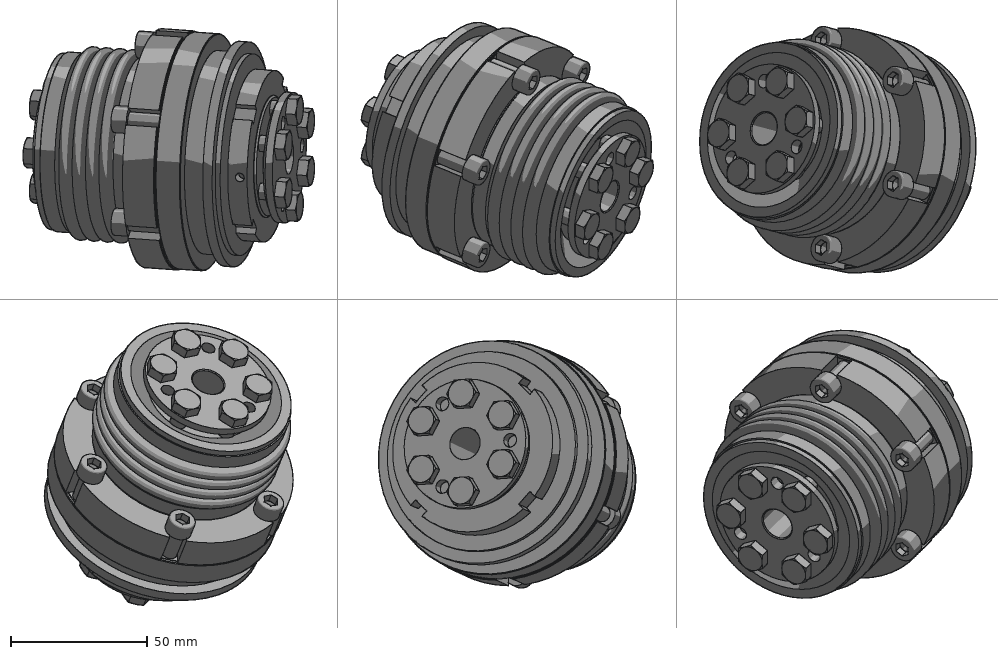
import cadquery as cq
import math

length = 99.0
bore_dia = 12.0
bore_chamfer = 0.4
through_overlap = 1.0

bolt_count = 6
bolt_dia = 6.0
bolt_circle_r = 18.2
bolt_hex_flats = 10.0
bolt_head_height = 4.0
bolt_head_chamfer = 0.3
plate_dia = 48.0
plate_thickness = 4.4
plate_rim_width = 2.8
plate_back_dia = 41.8
jack_hole_count = 3
jack_hole_dia = 5.0
jack_hole_circle_r = 17.8
clamp_gap = 2.4
spacer_dia = 28.5
spacer_neck_dia = 24.75
anchor_depth = 2.0
clamp_depth = bolt_head_height + plate_thickness + clamp_gap

flange_start = 6.8
flange_step = 9.1
flange_end = 14.8
flange_dia = 66.2
flange_step_dia = 65.0
recess_mouth_dia = 57.6
recess_floor_dia = 40.8
recess_floor = 12.6
ring_count = 4
ring_thickness = 3.3
ring_center_dia = 68.0
root_dia = 52.3
hub_flange_start = 36.9
hub_flange_end = 42.6
ring_r = ring_thickness / 2
root_width = (hub_flange_start - flange_end - ring_count * ring_thickness) / (ring_count + 1)
root_r = root_width / 2

slotted_start = 43.5
slotted_end = 55.5
slotted_dia = 88.0
joint_dia = 85.1
counter_start = 55.8
counter_end = 65.2
counter_dia = 87.3
disc_chamfer = 0.3
drum_dia = 74.9
rim_start = 73.3
rim_end = 76.8
rim_dia = 82.9
collar_end = 78.7
collar_dia = 74.25

nut_cone_dia = 50.3
nut_face = 80.1
nut_end = 87.4
nut_dia = 63.2
nut_boss_dia = 45.0
nut_boss_chamfer = 0.7
nut_slot_count = 4
nut_slot_width = 6.2
nut_slot_depth = 2.8
pin_hole_dia = 3.3
pin_hole_x = 84.6
pin_hole_depth = 4.95

screw_count = 6
screw_dia = 6.0
screw_head_dia = 10.0
screw_head_height = 5.9
screw_head_fillet = 0.6
screw_circle_r = (slotted_dia - screw_head_dia) / 2
screw_slot_width = 6.4
socket_flats = 5.0
socket_depth = 3.0
socket_tip_depth = 1.5


def section(x):
    """Workplane across the axis at x; its local axes are Y and Z."""
    return cq.Workplane("YZ", origin=(x, 0, 0))


def disc(x_start, x_end, dia):
    return section(x_start).circle(dia / 2).extrude(x_end - x_start)


def cone(x_start, dia_start, x_end, dia_end):
    axis = cq.Vector(1, 0, 0)
    start = cq.Vector(x_start, 0, 0)
    return cq.Workplane(cq.Solid.makeCone(dia_start / 2, dia_end / 2, x_end - x_start, start, axis))


def hex_corner_dia(flats):
    return flats / math.cos(math.pi / 6)


def hex_prism(x, flats, height):
    """Hexagonal prism on the axis with two corners pointing along Z."""
    prism = section(x).polygon(6, hex_corner_dia(flats)).extrude(height)
    return prism.rotate((0, 0, 0), (1, 0, 0), 90)


def around(shape, count, radius, first_angle):
    """Copies on a circle about X, all keeping the same orientation."""
    copies = cq.Workplane("XY")
    for i in range(count):
        angle = math.radians(first_angle + i * 360 / count)
        copies.add(shape.translate((0, radius * math.cos(angle), radius * math.sin(angle))))
    return copies.combine()


def bellows():
    """Solid bellows between the flanges: rounded rings joined by concave roots."""
    ring_center_r = ring_center_dia / 2
    root_bottom_r = root_dia / 2
    root_edge_r = root_bottom_r + root_r
    x = flange_end
    profile = cq.Workplane("XY").moveTo(x, 0).lineTo(x, root_edge_r)
    for _ in range(ring_count):
        ring_x = x + root_width
        profile = profile.threePointArc((x + root_r, root_bottom_r), (ring_x, root_edge_r))
        profile = profile.lineTo(ring_x, ring_center_r)
        x = ring_x + ring_thickness
        profile = profile.threePointArc((ring_x + ring_r, ring_center_r + ring_r), (x, ring_center_r))
        profile = profile.lineTo(x, root_edge_r)
    profile = profile.threePointArc((x + root_r, root_bottom_r), (hub_flange_start, root_edge_r))
    profile = profile.lineTo(hub_flange_start, 0).close()
    return profile.revolve(360, (0, 0, 0), (1, 0, 0))


def bellows_flanges():
    front = disc(flange_start, flange_step, flange_step_dia).union(disc(flange_step, flange_end, flange_dia))
    front = front.cut(cone(flange_start, recess_mouth_dia, recess_floor, recess_floor_dia))
    rear = disc(hub_flange_start, hub_flange_end, flange_dia)
    return front.union(rear).union(disc(hub_flange_end, slotted_start, flange_step_dia))


def slotted_disc():
    body = disc(slotted_start, slotted_end, slotted_dia).faces(">X").edges().chamfer(disc_chamfer)
    slot_length = slotted_dia / 2
    slot = (
        section(slotted_start)
        .center(screw_circle_r + slot_length / 2, 0)
        .rect(slot_length, screw_slot_width)
        .extrude(slotted_end - slotted_start)
        .union(disc(slotted_start, slotted_end, screw_slot_width).translate((0, screw_circle_r, 0)))
    )
    for i in range(screw_count):
        body = body.cut(slot.rotate((0, 0, 0), (1, 0, 0), 30 + i * 360 / screw_count))
    return body


def drum():
    counter = disc(counter_start, counter_end, counter_dia).edges().chamfer(disc_chamfer)
    return (
        disc(slotted_end, counter_start, joint_dia)
        .union(counter)
        .union(disc(counter_end, rim_start, drum_dia))
        .union(disc(rim_start, rim_end, rim_dia))
        .union(disc(rim_end, collar_end, collar_dia))
    )


def lock_nut():
    nut = cone(collar_end, nut_cone_dia, nut_face, nut_dia).union(disc(nut_face, nut_end, nut_dia))
    slot = (
        section(collar_end)
        .center(nut_dia / 2, 0)
        .rect(2 * nut_slot_depth, nut_slot_width)
        .extrude(nut_end - collar_end)
    )
    for i in range(nut_slot_count):
        nut = nut.cut(slot.rotate((0, 0, 0), (1, 0, 0), 45 + i * 360 / nut_slot_count))
    pin_hole = (
        cq.Workplane("XZ", origin=(pin_hole_x, -nut_dia / 2, 0))
        .circle(pin_hole_dia / 2)
        .extrude(-pin_hole_depth)
    )
    boss = disc(nut_end, length - clamp_depth, nut_boss_dia).faces(">X").edges().chamfer(nut_boss_chamfer)
    return nut.cut(pin_hole).union(boss)


def cap_screws():
    head_start = slotted_start - screw_head_height
    head = disc(head_start, slotted_start, screw_head_dia).faces("<X").edges().fillet(screw_head_fillet)
    socket_floor = head_start + socket_depth
    socket = hex_prism(head_start, socket_flats, socket_depth)
    socket = socket.union(cone(socket_floor, socket_flats, socket_floor + socket_tip_depth, 0))
    screw = head.union(disc(slotted_start, slotted_end, screw_dia)).cut(socket)
    return around(screw, screw_count, screw_circle_r, 30)


def clamp_set():
    """Clamp set for the left end, with bolts at 0, 60, 120... degrees from Y."""
    plate_start = bolt_head_height
    plate_end = plate_start + plate_thickness
    anchor_end = clamp_depth + anchor_depth
    cone_start = plate_start + plate_rim_width
    plate = disc(plate_start, cone_start, plate_dia)
    plate = plate.union(cone(cone_start, plate_dia, plate_end, plate_back_dia))
    jack_hole = disc(plate_start, plate_end, jack_hole_dia)
    plate = plate.cut(around(jack_hole, jack_hole_count, jack_hole_circle_r, 90))

    corner_dia = hex_corner_dia(bolt_hex_flats)
    turned = cone(0, bolt_hex_flats, bolt_head_chamfer, corner_dia)
    turned = turned.union(disc(bolt_head_chamfer, bolt_head_height, corner_dia))
    head = hex_prism(0, bolt_hex_flats, bolt_head_height).intersect(turned)
    bolt = head.union(disc(bolt_head_height, anchor_end, bolt_dia))

    spacer = cone(plate_end, spacer_dia, clamp_depth, spacer_neck_dia)
    spacer = spacer.union(disc(clamp_depth, anchor_end, spacer_neck_dia))
    return plate.union(around(bolt, bolt_count, bolt_circle_r, 0)).union(spacer)


def bore():
    chamfer_dia = bore_dia + 2 * bore_chamfer
    plate_face = bolt_head_height
    hole = disc(-through_overlap, length + through_overlap, bore_dia)
    return hole.union(cone(plate_face, chamfer_dia, plate_face + bore_chamfer, bore_dia))


left_clamp = clamp_set()
right_clamp = left_clamp.mirror("YZ").translate((length, 0, 0)).rotate((0, 0, 0), (1, 0, 0), 30)

result = (
    bellows()
    .union(bellows_flanges())
    .union(slotted_disc())
    .union(drum())
    .union(lock_nut())
    .union(cap_screws())
    .union(left_clamp)
    .union(right_clamp)
    .cut(bore())
)